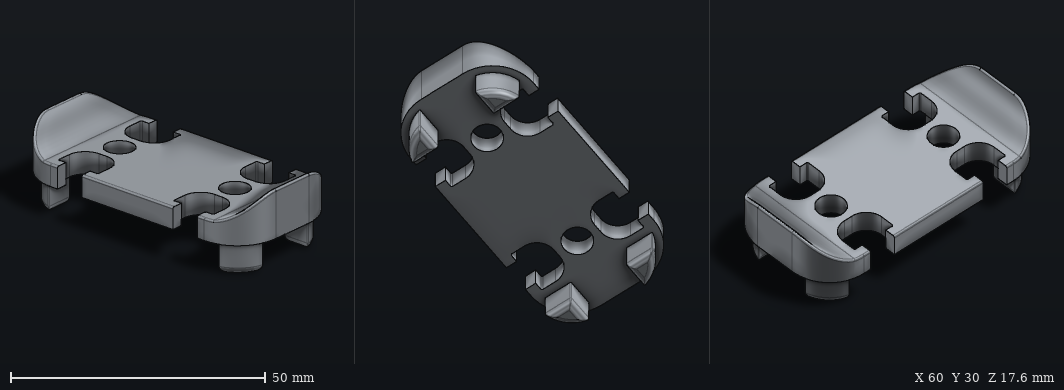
import cadquery as cq
import math

length = 60.0
width = 30.0
plate_thickness = 4.85
corner_radius = 10.0
rim_fillet = 0.4

bowl_radius = 10.3
bowl_start_x = 22.0
bowl_axis_x = length / 2 - corner_radius
bowl_axis_z = plate_thickness + math.sqrt(bowl_radius**2 - (bowl_start_x - bowl_axis_x) ** 2)

hole_spacing = 30.0
hole_diameter = 6.4
notch_width = 10.3
notch_depth = 10.0
notch_inner_radius = 4.15
notch_outer_radius = 0.3
mouth_width = 6.3
lip_thickness = 2.5

peg_length = 7.0
peg_radius = 8.4
peg_inner_x = 22.0
peg_inner_y = 6.7
peg_corner_fillet = 0.2
peg_tip_fillet = 1.5


def bowl_hollow(side):
    """Space inside the bowl at the +X (side = 1) or -X (side = -1) end."""
    cylinder = (
        cq.Workplane("XZ")
        .center(side * bowl_axis_x, bowl_axis_z)
        .circle(bowl_radius)
        .extrude(width, both=True)
    )
    reach = length
    beyond_start = cq.Workplane("XY").box(reach, 2 * width, 4 * bowl_axis_z)
    beyond_start = beyond_start.translate((side * (bowl_start_x + reach / 2), 0, 0))
    return cylinder.intersect(beyond_start)


def is_rim_edge(edge):
    """True for the upper edges, except the lines where the bowls meet the plate top."""
    tolerance = 0.005
    centre = edge.Center()
    on_top = edge.BoundingBox().zmin > plate_thickness - tolerance
    crosses_plate = abs(centre.y) < tolerance and abs(abs(centre.x) - bowl_start_x) < tolerance
    return on_top and not crosses_plate


def make_body():
    """Rounded plate with a curved wall at each end and a rounded rim."""
    block = (
        cq.Workplane("XY")
        .rect(length, width)
        .extrude(bowl_axis_z)
        .edges("|Z")
        .fillet(corner_radius)
    )
    above_plate = (
        cq.Workplane("XY", origin=(0, 0, plate_thickness))
        .rect(2 * bowl_start_x, 2 * width)
        .extrude(bowl_axis_z)
    )
    body = block.cut(above_plate)
    for side in (-1, 1):
        body = body.cut(bowl_hollow(side))
    rim = [edge for edge in body.edges().vals() if is_rim_edge(edge)]
    return body.newObject(rim).fillet(rim_fillet)


def make_notch():
    """T-shaped notch in the -Y side, centred on x = 0."""
    outer_y = -width / 2
    lip_y = outer_y + lip_thickness
    inner_y = outer_y + notch_depth
    pocket = (
        cq.Workplane("XY")
        .center(0, (lip_y + inner_y) / 2)
        .rect(notch_width, inner_y - lip_y)
        .extrude(plate_thickness)
    )
    pocket = pocket.edges("|Z and >Y").fillet(notch_inner_radius)
    pocket = pocket.edges("|Z and <Y").fillet(notch_outer_radius)
    mouth = (
        cq.Workplane("XY")
        .center(0, outer_y)
        .rect(mouth_width, 2 * (lip_thickness + notch_outer_radius))
        .extrude(plate_thickness)
    )
    return pocket.union(mouth)


def make_peg():
    """Peg under the +X +Y corner: two flat inner sides and a round outer side."""
    corner_x = length / 2 - corner_radius
    corner_y = width / 2 - corner_radius
    disc = (
        cq.Workplane("XY")
        .center(corner_x, corner_y)
        .circle(peg_radius)
        .extrude(-peg_length)
    )
    outer_quadrant = (
        cq.Workplane("XY", origin=(peg_inner_x, peg_inner_y, 0))
        .rect(length, width, centered=False)
        .extrude(-peg_length)
    )
    peg = disc.intersect(outer_quadrant)
    peg = peg.faces("<Z").edges().fillet(peg_tip_fillet)
    return peg.edges("|Z").fillet(peg_corner_fillet)


body = make_body()

notch = make_notch()
opposite_notch = notch.mirror("XZ")
holes = cq.Workplane("XY").circle(hole_diameter / 2).extrude(plate_thickness)
for side in (-1, 1):
    offset = (side * hole_spacing / 2, 0, 0)
    for opening in (notch, opposite_notch, holes):
        body = body.cut(opening.translate(offset))

peg = make_peg()
peg_pair = peg.union(peg.mirror("XZ"))
result = body.union(peg_pair).union(peg_pair.mirror("YZ"))